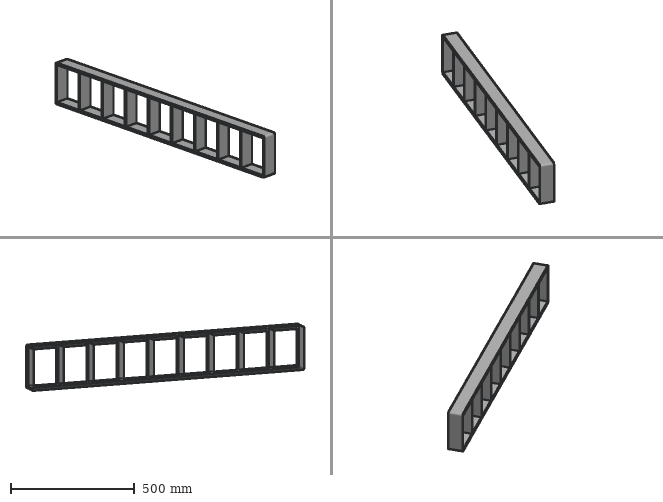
import cadquery as cq

length = 1185.0
depth = 60.0
height = 180.0
corner_radius = 10.0

wall = 10.0
opening_count = 9
opening_pitch = (length - wall) / opening_count
opening_width = opening_pitch - wall
opening_height = height - 2 * wall


def rounded_body():
    """Solid bar with its four long-axis end corners rounded."""
    return cq.Workplane("XY").box(length, depth, height).edges("|Y").fillet(corner_radius)


def openings():
    """Row of equal rectangular openings running through the depth."""
    return (
        cq.Workplane("XZ")
        .rarray(opening_pitch, height, opening_count, 1)
        .rect(opening_width, opening_height)
        .extrude(depth, both=True)
    )


result = rounded_body().cut(openings())